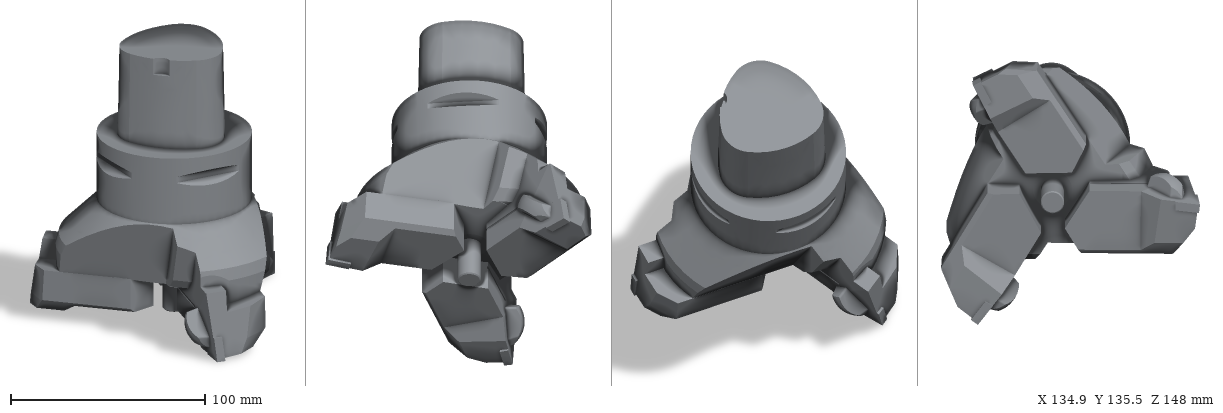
import cadquery as cq
import math


TOOTH_ANGLES = [0, 123, 243]
SEAT_SLOPE = math.tan(math.radians(7))

SHANK_TOP = 148.0
FLANGE_TOP = 99.7
SHANK_LOBE_RADIUS = 16.7
SHANK_LOBE_CENTER = 13.0
SHANK_SIDE_CENTER = 18.5
SHANK_TAPER = 1.0
NOTCH_RADIUS = 5.0
NOTCH_AXIS_Y = -26.8
NOTCH_DEPTH = 8.7

FLANGE_RADIUS = 40.0
FLANGE_BOTTOM = 63.5
GROOVE_Z = 87.9
GROOVE_FLOOR_DISTANCE = 35.5
GROOVE_FLOOR_WIDTH = 3.2
GROOVE_FLANK_ANGLE = 30

CONE_BOTTOM_RADIUS = 59.5
CONE_BOTTOM = 44.3
RIM_RADIUS = 61.1
RIM_BOTTOM_RADIUS = 60.6
RIM_TOP = 38.0
BODY_BOTTOM = 20.0
HOLLOW_FLOOR = 24.0
HOLLOW_FLOOR_RADIUS = 10.0
HOLLOW_RADIUS = 38.3
HOLLOW_RIM = 27.9
FLOOR_ROOM_X = -36.0
TAB_SEAT_X = -60.1
PIN_RADIUS = 12.01 / 2
PIN_BOTTOM = 2.1
PIN_CHAMFER = 0.6

STEP_TURN = -123
FLAT_SLOPE = math.tan(math.radians(16.9))
FLAT_Y = -29.9
FLAT_BOTTOM = 27.5
WALL_Y = 12.9
STEP_OFFSET = 8.4
STEP_KINK_Z = 33.3
STEP_KINK_Y = FLAT_Y - STEP_OFFSET - FLAT_SLOPE * (STEP_KINK_Z - FLAT_BOTTOM)
STEP_FLOOR_Z = 27.9
STEP_FLOOR_Y = -35.6

TAB_TOP = 36.0
LEAD_Y = 4.4
BAR_BACK_Y = -30.0
BAR_BACK_TOP = FLAT_BOTTOM
TAB_BACK_Y = -6.7
BAR_BOTTOM = 8.6
BACK_CHAMFER_TOP = 11.0
BACK_CHAMFER_FOOT = (-21.6, 3.1)
TIP_BOTTOM = 0.6
TIP_X = -75.9
TIP_Y = 0.2
RAKE_RADIAL = 0.112
RAKE_AXIAL = 0.094
OUTER_RELIEF_ANGLE = 6
OUTER_TOP_X = -69.4
OUTER_BOTTOM_X = -75.3
TIP_INNER_X = -56.8
BAR_RELIEF_X = -45.5
CORNER_BACK = (-61.2, BAR_BACK_Y)
CORNER_OUTER = (-73.0, -14.2)
CORNER_SECTION = [(-0.4, TAB_TOP), (0.75, 10.0), (0.0, 3.0), (-0.3, 0.0)]
END_BACK_X = -15.0
END_NOSE = (-6.5, -16.0)
END_LEAD = (-19.0, LEAD_Y)
LEAD_GROOVE_OUTER_X = -50.6
LEAD_GROOVE_BOTTOM = 20.9
LEAD_GROOVE_TOP = 22.4
LEAD_GROOVE_DEPTH = 0.5

DEFLECTOR_CORNERS = [(-46.8, 16.5), (-55.5, 24.7), (-68.5, 11.4), (-67.1, 4.4), (-60.4, 4.4)]
DEFLECTOR_HEIGHT = 12.0
DEFLECTOR_DRAFT = 12
DEFLECTOR_DOME_CENTER = (-57.5, -3.4, 15.5)
DEFLECTOR_DOME_RADIUS = 15.0
DEFLECTOR_ROUND = 1.2

INSERT_HEIGHT = 12.8
INSERT_THICKNESS = 4.5
INSERT_INNER_X = -63.2
INSERT_OUTER_TOP_X = -74.5

REACH = 100.0
CUT_REACH = 2 * REACH


def seat_z(y):
    """Height of the tilted cartridge seat at position y."""
    return BAR_BACK_TOP - SEAT_SLOPE * (y - BAR_BACK_Y)


def flat_y(z):
    """Y of the gullet flat behind a tooth at height z."""
    return FLAT_Y - FLAT_SLOPE * (z - FLAT_BOTTOM)


def along_x(points_yz, x_from, x_to):
    return cq.Workplane("YZ", origin=(x_from, 0, 0)).polyline(points_yz).close().extrude(x_to - x_from)


def along_y(points_xz, y_from, y_to):
    return cq.Workplane("XZ", origin=(0, y_from, 0)).polyline(points_xz).close().extrude(y_from - y_to)


def block(x_range, y_range, z_range):
    outline = [(x_range[0], y_range[0]), (x_range[1], y_range[0]),
               (x_range[1], y_range[1]), (x_range[0], y_range[1])]
    base = cq.Workplane("XY", origin=(0, 0, z_range[0]))
    return base.polyline(outline).close().extrude(z_range[1] - z_range[0])


def turned(shape, angle):
    return shape.rotate((0, 0, 0), (0, 0, 1), angle)


def polar(distance, angle):
    return (distance * math.cos(math.radians(angle)), distance * math.sin(math.radians(angle)))


def shank_outline(workplane, inset):
    """Lobe arcs and wide side arcs, tangent to each other, pulled in by the given inset."""
    center_gap_x = SHANK_LOBE_CENTER + SHANK_SIDE_CENTER * math.cos(math.radians(60))
    center_gap_y = SHANK_SIDE_CENTER * math.sin(math.radians(60))
    center_gap = math.hypot(center_gap_x, center_gap_y)
    lobe_radius = SHANK_LOBE_RADIUS - inset
    lobe_tip = SHANK_LOBE_CENTER + lobe_radius
    side_middle = center_gap + lobe_radius - SHANK_SIDE_CENTER
    joint_x = SHANK_LOBE_CENTER + lobe_radius * center_gap_x / center_gap
    joint_y = lobe_radius * center_gap_y / center_gap
    joint_distance = math.hypot(joint_x, joint_y)
    joint_angle = math.degrees(math.atan2(joint_y, joint_x))
    outline = workplane.moveTo(*polar(joint_distance, 90 - joint_angle))
    for lobe_angle in (90, 210, 330):
        outline = (outline
                   .threePointArc(polar(lobe_tip, lobe_angle), polar(joint_distance, lobe_angle + joint_angle))
                   .threePointArc(polar(side_middle, lobe_angle + 60),
                                  polar(joint_distance, lobe_angle + 120 - joint_angle)))
    return outline.close()


def make_shank():
    base = cq.Workplane("XY", origin=(0, 0, FLANGE_TOP))
    base_outline = shank_outline(base, 0)
    top = base_outline.workplane(offset=SHANK_TOP - FLANGE_TOP)
    shank = shank_outline(top, SHANK_TAPER).loft(ruled=True)
    notch = (cq.Workplane("XY", origin=(0, NOTCH_AXIS_Y, SHANK_TOP - NOTCH_DEPTH))
             .circle(NOTCH_RADIUS).extrude(NOTCH_DEPTH))
    return shank.cut(notch)


def make_blank():
    outline = [(0, PIN_BOTTOM), (PIN_RADIUS - PIN_CHAMFER, PIN_BOTTOM), (PIN_RADIUS, PIN_BOTTOM + PIN_CHAMFER),
               (PIN_RADIUS, BODY_BOTTOM), (RIM_BOTTOM_RADIUS, BODY_BOTTOM), (RIM_RADIUS, RIM_TOP),
               (CONE_BOTTOM_RADIUS, CONE_BOTTOM), (FLANGE_RADIUS, FLANGE_BOTTOM),
               (FLANGE_RADIUS, FLANGE_TOP), (0, FLANGE_TOP)]
    return cq.Workplane("XZ").polyline(outline).close().revolve(360, (0, 0, 0), (0, 1, 0))


def gripper_groove():
    depth = FLANGE_RADIUS - GROOVE_FLOOR_DISTANCE
    half_floor = GROOVE_FLOOR_WIDTH / 2
    half_mouth = half_floor + depth * math.tan(math.radians(GROOVE_FLANK_ANGLE))
    section = [(GROOVE_FLOOR_DISTANCE, GROOVE_Z - half_floor), (FLANGE_RADIUS, GROOVE_Z - half_mouth),
               (FLANGE_RADIUS, GROOVE_Z + half_mouth), (GROOVE_FLOOR_DISTANCE, GROOVE_Z + half_floor)]
    return along_y(section, -FLANGE_RADIUS, FLANGE_RADIUS)


def flat_side():
    section = [(flat_y(0), 0), (-REACH, 0), (-REACH, FLANGE_BOTTOM), (flat_y(FLANGE_BOTTOM), FLANGE_BOTTOM)]
    return along_x(section, -REACH, REACH)


def step_side():
    step_top_y = flat_y(FLANGE_BOTTOM) - STEP_OFFSET
    section = [(STEP_FLOOR_Y, 0), (-REACH, 0), (-REACH, FLANGE_BOTTOM), (step_top_y, FLANGE_BOTTOM),
               (STEP_KINK_Y, STEP_KINK_Z), (STEP_FLOOR_Y, STEP_FLOOR_Z)]
    return along_x(section, -REACH, REACH)


def gullet(tooth_angle, neighbour_angle):
    wall_zone = block((-REACH, REACH), (WALL_Y, REACH), (0, FLANGE_BOTTOM))
    step_zone = block((-REACH, 0), (LEAD_Y, WALL_Y), (0, FLANGE_BOTTOM))
    deep_part = turned(wall_zone, tooth_angle).intersect(turned(flat_side(), neighbour_angle))
    stepped_part = turned(step_zone.intersect(turned(step_side(), STEP_TURN)), tooth_angle)
    return deep_part.union(stepped_part)


def underside_hollow():
    outline = [(PIN_RADIUS, 0), (PIN_RADIUS, HOLLOW_FLOOR), (HOLLOW_FLOOR_RADIUS, HOLLOW_FLOOR),
               (HOLLOW_RADIUS, HOLLOW_RIM), (HOLLOW_RADIUS, 0)]
    return cq.Workplane("XZ").polyline(outline).close().revolve(360, (0, 0, 0), (0, 1, 0))


def cartridge_seat():
    section = [(LEAD_Y, 0), (BAR_BACK_Y - REACH, 0), (BAR_BACK_Y - REACH, seat_z(BAR_BACK_Y)),
               (BAR_BACK_Y, seat_z(BAR_BACK_Y)), (LEAD_Y, seat_z(LEAD_Y))]
    seat = along_x(section, -REACH, 0).intersect(bar_plan())
    seat_flat = block((-REACH, TAB_SEAT_X), (BAR_BACK_Y, LEAD_Y), (0, CONE_BOTTOM))
    floor_room = block((-REACH, FLOOR_ROOM_X), (LEAD_Y, WALL_Y), (0, STEP_FLOOR_Z))
    return seat.union(seat_flat).union(floor_room).union(make_tab())


def bar_plan():
    """Plan outline of the bar with its blunt nose at the inner end."""
    outline = [(-REACH, END_LEAD[1]), (-REACH, BAR_BACK_Y), (END_BACK_X, BAR_BACK_Y), END_NOSE, END_LEAD]
    return cq.Workplane("XY").polyline(outline).close().extrude(FLANGE_BOTTOM)


def corner_cut():
    """Everything outside the leaning cut across the outer back corner and its lower bevel."""
    direction = (CORNER_OUTER[0] - CORNER_BACK[0], CORNER_OUTER[1] - CORNER_BACK[1], 0)
    outward = (-direction[1], direction[0], 0)
    plane = cq.Plane(origin=(*CORNER_BACK, 0), xDir=outward, normal=direction)
    section = [*CORNER_SECTION, (REACH, CORNER_SECTION[-1][1]), (REACH, CORNER_SECTION[0][1])]
    return cq.Workplane(plane).polyline(section).close().extrude(REACH, both=True)


def rake_slab(depth):
    """Wide slab of the given depth on the tilted rake face, ahead of it when the depth is positive."""
    rake = cq.Plane(origin=(TIP_X, TIP_Y, 0), xDir=(1, RAKE_RADIAL, 0), normal=(-RAKE_RADIAL, 1, -RAKE_AXIAL))
    return cq.Workplane(rake).rect(2 * REACH, 2 * REACH).extrude(depth)


def outer_side(top_x, bottom_x, top_z):
    """Everything outside the outer face, which leans with height and relieves backward from the tip."""
    slope = (top_x - bottom_x) / top_z
    section = [(bottom_x, 0), (bottom_x + slope * SHANK_TOP, SHANK_TOP), (-CUT_REACH, SHANK_TOP), (-CUT_REACH, 0)]
    pivot = (bottom_x, TIP_Y)
    return along_y(section, -REACH, REACH).rotate((*pivot, 0), (*pivot, 1), OUTER_RELIEF_ANGLE)


def make_tab():
    """Upright plate behind the leading face, reaching inward to the gullet step."""
    upper = block((-REACH, 0), (TAB_BACK_Y, LEAD_Y), (BAR_BOTTOM, TAB_TOP))
    foot = block((-REACH, FLOOR_ROOM_X), (TAB_BACK_Y, LEAD_Y), (BAR_BOTTOM, STEP_FLOOR_Z))
    return upper.intersect(turned(step_side(), STEP_TURN)).union(foot)


def deflector():
    prism = (cq.Workplane("XZ", origin=(0, TIP_Y, 0)).polyline(DEFLECTOR_CORNERS).close()
             .extrude(-DEFLECTOR_HEIGHT, taper=DEFLECTOR_DRAFT)
             .edges("not(#Y)").fillet(DEFLECTOR_ROUND))
    dome = cq.Workplane("XY").sphere(DEFLECTOR_DOME_RADIUS).translate(DEFLECTOR_DOME_CENTER)
    return prism.intersect(dome)


def make_cartridge():
    lower = [(LEAD_Y, TIP_BOTTOM), BACK_CHAMFER_FOOT, (BAR_BACK_Y, BACK_CHAMFER_TOP)]
    bar = along_x(lower + [(BAR_BACK_Y, seat_z(BAR_BACK_Y)), (LEAD_Y, seat_z(LEAD_Y))], -REACH, 0)
    column = along_x(lower + [(BAR_BACK_Y, TAB_TOP), (LEAD_Y, TAB_TOP)], -REACH, 0)
    hollow_filler = underside_hollow().intersect(column)
    relief = along_y([(-REACH, 0), (TIP_INNER_X, 0), (BAR_RELIEF_X, BAR_BOTTOM), (0, BAR_BOTTOM),
                      (0, TAB_TOP), (-REACH, TAB_TOP)], -REACH, REACH)
    blank = bar.union(hollow_filler).union(make_tab()).intersect(relief).intersect(bar_plan())
    groove = block((LEAD_GROOVE_OUTER_X, 0), (LEAD_Y - LEAD_GROOVE_DEPTH, LEAD_Y),
                   (LEAD_GROOVE_BOTTOM, LEAD_GROOVE_TOP))
    return (blank.cut(corner_cut()).cut(outer_side(OUTER_TOP_X, OUTER_BOTTOM_X, TAB_TOP))
            .cut(rake_slab(REACH)).cut(groove).union(deflector()))


def make_insert():
    front = block((-REACH, INSERT_INNER_X), (-REACH, REACH), (0, INSERT_HEIGHT))
    slab = rake_slab(-INSERT_THICKNESS)
    return front.intersect(slab).cut(outer_side(INSERT_OUTER_TOP_X, TIP_X, INSERT_HEIGHT))


insert = make_insert()
cartridge = make_cartridge().cut(insert)

body = make_blank().union(make_shank()).cut(underside_hollow())
for quarter in range(4):
    body = body.cut(turned(gripper_groove(), 45 + 90 * quarter))
for index, angle in enumerate(TOOTH_ANGLES):
    body = body.cut(gullet(angle, TOOTH_ANGLES[index - 1]))
    body = body.cut(turned(cartridge_seat(), angle))

cartridges = [turned(cartridge, angle) for angle in TOOTH_ANGLES]
inserts = [turned(insert, angle) for angle in TOOTH_ANGLES]
result = cq.Compound.makeCompound(
    [body.val()] + [c.val() for c in cartridges] + [i.val() for i in inserts])